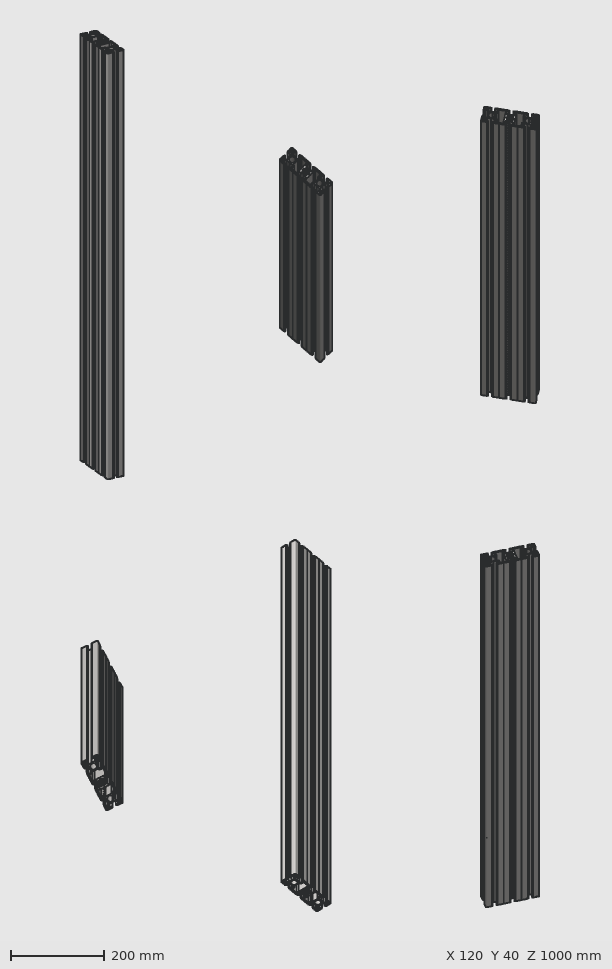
import cadquery as cq

length = 1000.0
module = 40.0
module_count = 3
width = module_count * module
height = module
corner_radius = 2.5

mouth_width = 8.0
recess_width = 13.0
recess_depth = 1.0
lip_thickness = 3.5
cavity_width = 21.0
cavity_height = 7.5
floor_chamfer = 3.0
slot_depth = lip_thickness + cavity_height

groove_width = 0.8
groove_depth = 0.4

side_bore_diameter = 14.0
core_bore_diameter = 10.0
core_relief_width = 2.5
core_relief_reach = 8.0
core_relief_count = 8
corner_bore_diameter = 4.0
corner_bore_inset = 4.7

inner_wall = 1.5
outer_wall = 2.0
face_wall = 3.5
shoulder_half_height = 8.0
waist_half_height = 7.0
waist_widening = 3.5


def prism(points):
    """Closed outline extruded along the whole length."""
    return cq.Workplane("XY").polyline(points).close().extrude(length)


def bore(x, y, diameter):
    """Round hole along the whole length."""
    return cq.Workplane("XY").center(x, y).circle(diameter / 2).extrude(length)


def t_slot(face_x, face_y, turn):
    """T-slot cutter with a stepped mouth; unturned it opens toward +Y, turn is in degrees."""
    right_half = [
        (recess_width / 2, 0),
        (recess_width / 2, -recess_depth),
        (mouth_width / 2, -recess_depth),
        (mouth_width / 2, -lip_thickness),
        (cavity_width / 2, -lip_thickness),
        (cavity_width / 2, floor_chamfer - slot_depth),
        (cavity_width / 2 - floor_chamfer, -slot_depth),
        (groove_width / 2, -slot_depth),
    ]
    groove_tip = (0, -slot_depth - groove_depth)
    left_half = [(-x, y) for x, y in reversed(right_half)]
    slot = prism(right_half + [groove_tip] + left_half)
    return slot.rotate((0, 0, 0), (0, 0, 1), turn).translate((face_x, face_y, 0))


def face_groove(x, side):
    """V-groove along the +Y (side 1) or -Y (side -1) face."""
    face_y = side * height / 2
    return prism([
        (x - groove_width / 2, face_y),
        (x, face_y - side * groove_depth),
        (x + groove_width / 2, face_y),
    ])


def chamber(side):
    """Hollow between two slot columns, widened at mid height on its outer side."""
    inner_x = side * (cavity_width / 2 + inner_wall)
    outer_x = side * (module - cavity_width / 2 - outer_wall)
    top_y = height / 2 - face_wall
    upper = [
        (inner_x, top_y),
        (outer_x, top_y),
        (outer_x, shoulder_half_height),
        (outer_x + side * waist_widening, waist_half_height),
    ]
    lower = [(x, -y) for x, y in reversed(upper)]
    return prism(upper + lower)


def core_bore():
    """Central screw channel: a round bore with evenly spread relief notches."""
    channel = bore(0, 0, core_bore_diameter)
    relief = cq.Workplane("XY").rect(2 * core_relief_reach, core_relief_width).extrude(length)
    for i in range(core_relief_count // 2):
        turn = i * 360 / core_relief_count
        channel = channel.union(relief.rotate((0, 0, 0), (0, 0, 1), turn))
    return channel


body = cq.Workplane("XY").box(width, height, length, centered=(True, True, False))
body = body.edges("|Z").fillet(corner_radius)

for x in (-module, 0, module):
    body = body.cut(t_slot(x, height / 2, 0))
    body = body.cut(t_slot(x, -height / 2, 180))
body = body.cut(t_slot(-width / 2, 0, 90))
body = body.cut(t_slot(width / 2, 0, -90))

body = body.cut(core_bore())
for side_x in (-1, 1):
    body = body.cut(bore(side_x * module, 0, side_bore_diameter))
    body = body.cut(chamber(side_x))
    for side_y in (-1, 1):
        body = body.cut(face_groove(side_x * module / 2, side_y))
        corner_x = side_x * (width / 2 - corner_bore_inset)
        corner_y = side_y * (height / 2 - corner_bore_inset)
        body = body.cut(bore(corner_x, corner_y, corner_bore_diameter))

result = body